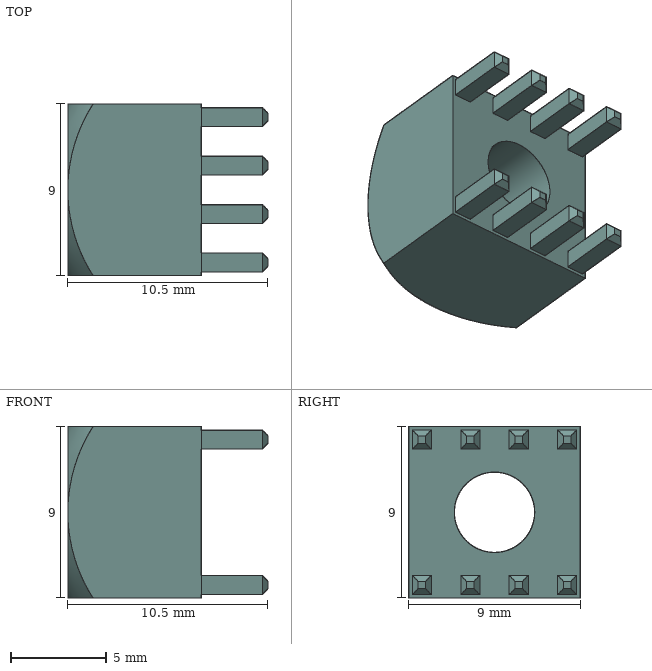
import cadquery as cq
import math

overall_length = 10.5
body_side = 9.0
body_length = 7.0
sphere_radius = 9.45
bore_diameter = 4.2
countersink_diameter = 5.2
countersink_angle = 90.0
pin_side = 1.0
pin_pitch = 2.54
pins_per_row = 4
pin_tip_chamfer = 0.3

pin_length = overall_length - body_length
row_spacing = (pins_per_row - 1) * pin_pitch
face_radius = body_side / 2
sphere_center = math.sqrt(sphere_radius**2 - face_radius**2)


def make_body():
    """Square block with its front corners rounded by a large sphere."""
    block = cq.Workplane("YZ").rect(body_side, body_side).extrude(body_length)
    back_radius = math.sqrt(sphere_radius**2 - (sphere_center - body_length) ** 2)
    middle = body_length / 2
    middle_radius = math.sqrt(sphere_radius**2 - (sphere_center - middle) ** 2)
    envelope = (
        cq.Workplane("XY")
        .moveTo(0, 0)
        .lineTo(0, face_radius)
        .threePointArc((middle, middle_radius), (body_length, back_radius))
        .lineTo(body_length, 0)
        .close()
        .revolve(360, (0, 0, 0), (1, 0, 0))
    )
    return block.intersect(envelope)


def cut_bore(body):
    """Through bore, countersunk at the front face."""
    return (
        body.faces("<X")
        .workplane(origin=(0, 0, 0))
        .cskHole(bore_diameter, countersink_diameter, countersink_angle)
    )


def make_pins():
    """Two rows of square pins on the back face, with chamfered tips."""
    return (
        cq.Workplane("YZ", origin=(body_length, 0, 0))
        .rarray(pin_pitch, row_spacing, pins_per_row, 2)
        .rect(pin_side, pin_side)
        .extrude(pin_length)
        .faces(">X")
        .chamfer(pin_tip_chamfer)
    )


result = cut_bore(make_body()).union(make_pins())